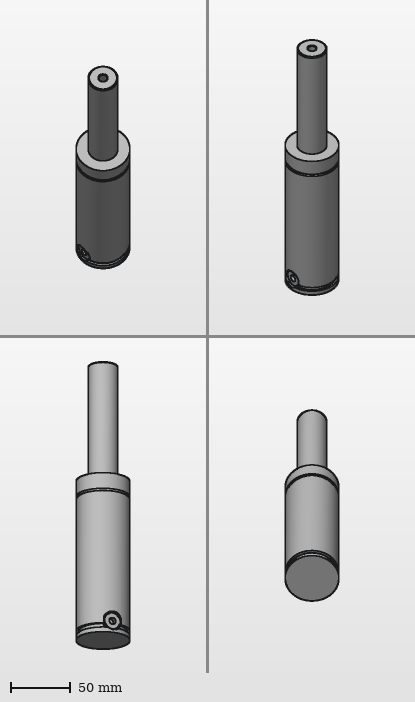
import cadquery as cq
import math

total_height = 242.0
body_diameter = 45.0
rod_diameter = 25.0
body_radius = body_diameter / 2
rod_radius = rod_diameter / 2

flange_height = 4.0
body_top = 140.4

base_groove_width = 3.9
base_groove_wall_depth = 2.2
base_groove_depth = 2.7

cap_groove_bottom = 124.6
cap_groove_width = 2.0
cap_groove_depth = 1.0

rod_chamfer = 1.0
rod_hole_diameter = 6.8
rod_hole_rim_diameter = 8.0
rod_hole_depth = 12.0
drill_point_angle = 118.0

plug_height = 10.6
plug_diameter = 16.0
plug_face_diameter = 14.0
plug_recess = 1.7
plug_step = 2.0
plug_length = 7.3
plug_hole_diameter = 5.8
plug_hole_depth = 4.8


def revolve_about_z(outline):
    return outline.close().revolve(360, (0, 0, 0), (0, 1, 0))


def make_cylinder_and_rod():
    """Grooved body with the chamfered rod standing on it."""
    base_groove_root = body_radius - base_groove_depth
    base_groove_wall = body_radius - base_groove_wall_depth
    base_groove_middle = flange_height + base_groove_width / 2
    base_groove_top = flange_height + base_groove_width
    cap_groove_root = body_radius - cap_groove_depth
    cap_groove_middle = cap_groove_bottom + cap_groove_width / 2
    cap_groove_top = cap_groove_bottom + cap_groove_width
    outline = (
        cq.Workplane("XZ")
        .lineTo(body_radius, 0)
        .lineTo(body_radius, flange_height)
        .lineTo(base_groove_wall, flange_height)
        .threePointArc((base_groove_root, base_groove_middle), (base_groove_wall, base_groove_top))
        .lineTo(body_radius, base_groove_top)
        .lineTo(body_radius, cap_groove_bottom)
        .threePointArc((cap_groove_root, cap_groove_middle), (body_radius, cap_groove_top))
        .lineTo(body_radius, body_top)
        .lineTo(rod_radius, body_top)
        .lineTo(rod_radius, total_height - rod_chamfer)
        .lineTo(rod_radius - rod_chamfer, total_height)
        .lineTo(0, total_height)
    )
    return revolve_about_z(outline)


def make_rod_hole():
    """Drilled hole with a countersunk rim and a conical bottom."""
    hole_radius = rod_hole_diameter / 2
    rim_radius = rod_hole_rim_diameter / 2
    wall_bottom = total_height - rod_hole_depth
    point_depth = hole_radius / math.tan(math.radians(drill_point_angle / 2))
    outline = (
        cq.Workplane("XZ")
        .moveTo(0, total_height)
        .lineTo(rim_radius, total_height)
        .lineTo(hole_radius, total_height - (rim_radius - hole_radius))
        .lineTo(hole_radius, wall_bottom)
        .lineTo(0, wall_bottom - point_depth)
    )
    return revolve_about_z(outline)


def plug_disc(diameter, inset, length):
    """Cylinder along Y that starts the given inset behind the -Y side of the body."""
    start = cq.Workplane("XZ", origin=(0, inset - body_radius, plug_height))
    return start.circle(diameter / 2).extrude(-length)


def make_plug():
    """Stepped plug with a blind centre hole; it also fills the base groove behind it."""
    shoulder = plug_disc(plug_diameter, plug_recess + plug_step, plug_length - plug_step)
    face = plug_disc(plug_face_diameter, plug_recess, plug_length)
    hole = plug_disc(plug_hole_diameter, plug_recess, plug_hole_depth)
    return shoulder.union(face).cut(hole)


plug_pocket = plug_disc(plug_diameter, 0, plug_recess + plug_length)
body = make_cylinder_and_rod().cut(make_rod_hole()).cut(plug_pocket)
result = body.union(make_plug())